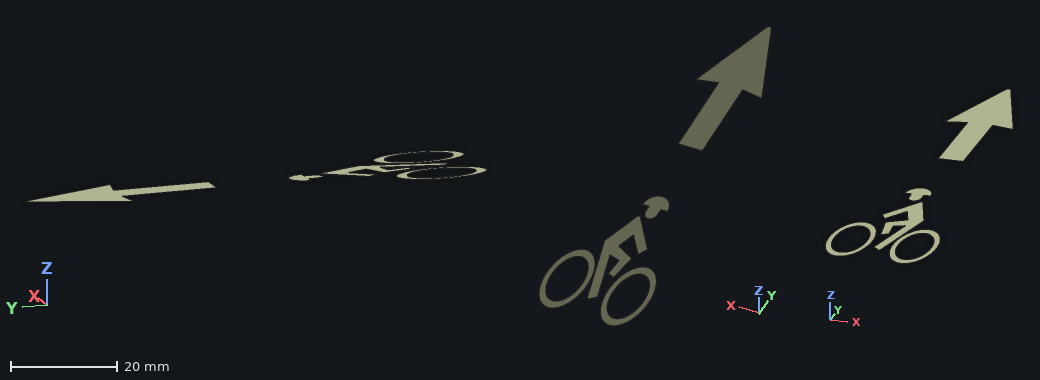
import cadquery as cq
import math

total_length = 90.1
thickness = 0.05

wheel_spacing = 12.6
wheel_width = 8.6
wheel_height = 18.0
opening_width = 6.3
opening_height = 13.5

head_x = -0.8
helmet_half_width = 2.6
helmet_rise = 3.6
brim_y = 34.05
face_half_width = 1.3
chin_start_y = 32.6
chin_drop = 1.9

neck = (1.1, 31.35)
rider_corners = [
    neck,
    (-4.3, 22.7),
    (-3.2, 20.5),
    (-0.2, 25.3),
    (1.1, 21.4),
    (-2.6, 19.2),
    (-1.6, 12.7),
    (-0.2, 13.5),
    (-0.5, 17.7),
    (1.5, 18.4),
    (-1.1, 6.5),
    (0.2, 5.3),
    (0.6, 5.3),
    (4.2, 21.8),
]
neck_radius = 0.4

arrow_bottom_y = 52.5
shaft_half_width = 2.5
barb_root_y = 71.5
barb_y = 70.6
arrow_edge_angle = 18.4
tip_radius = 0.5
barb_radius = 0.2


def make_wheel(center_x):
    return (
        cq.Workplane("XY")
        .center(center_x, wheel_height / 2)
        .ellipse(wheel_width / 2, wheel_height / 2)
        .ellipse(opening_width / 2, opening_height / 2)
        .extrude(thickness)
    )


def make_head():
    helmet_ellipse = (
        cq.Workplane("XY")
        .center(head_x, brim_y)
        .ellipse(helmet_half_width, helmet_rise)
        .extrude(thickness)
    )
    below_brim = (
        cq.Workplane("XY")
        .center(head_x, brim_y - helmet_rise / 2)
        .rect(2 * helmet_half_width, helmet_rise)
        .extrude(thickness)
    )
    helmet = helmet_ellipse.cut(below_brim)
    face = (
        cq.Workplane("XY")
        .center(head_x, (brim_y + chin_start_y) / 2)
        .rect(2 * face_half_width, brim_y - chin_start_y)
        .extrude(thickness)
    )
    chin = (
        cq.Workplane("XY")
        .center(head_x, chin_start_y)
        .ellipse(face_half_width, chin_drop)
        .extrude(thickness)
    )
    return helmet.union(face).union(chin).clean()


def round_corner(plate, corner, radius):
    """Round the upright edge of a plate that passes through an outline corner."""
    x, y = corner
    edge_point = (x, y, thickness / 2)
    return plate.edges("|Z").edges(cq.NearestToPointSelector(edge_point)).fillet(radius)


def make_rider():
    body = cq.Workplane("XY").polyline(rider_corners).close().extrude(thickness)
    return round_corner(body, neck, neck_radius)


def make_arrow():
    apex_y = total_length + tip_radius * (1 / math.sin(math.radians(arrow_edge_angle)) - 1)
    apex = (0, apex_y)
    barb_half_width = (apex_y - barb_y) * math.tan(math.radians(arrow_edge_angle))
    right_side = [
        (shaft_half_width, arrow_bottom_y),
        (shaft_half_width, barb_root_y),
        (barb_half_width, barb_y),
    ]
    left_side = [(-x, y) for x, y in reversed(right_side)]
    arrow = cq.Workplane("XY").polyline(right_side + [apex] + left_side).close().extrude(thickness)
    arrow = round_corner(arrow, apex, tip_radius)
    for side in (-1, 1):
        arrow = round_corner(arrow, (side * barb_half_width, barb_y), barb_radius)
    return arrow


wheels = [make_wheel(side * wheel_spacing / 2) for side in (-1, 1)]
head = make_head()
rider = make_rider()
arrow = make_arrow()

result = cq.Compound.makeCompound(
    [*[wheel.val() for wheel in wheels], *head.solids().vals(), *rider.solids().vals(), *arrow.solids().vals()]
)